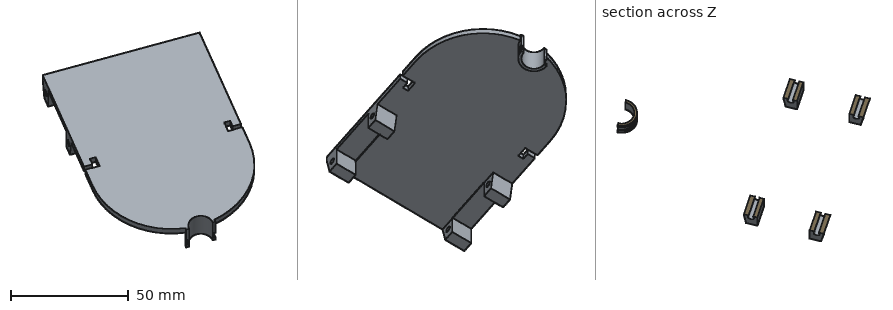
import cadquery as cq

length = 100.1
width = 70.64
thickness = 3.2
half_width = width / 2
round_radius = half_width
round_center_x = 64.4

leg_bottom_z = -13.0
leg_width = 10.0
rear_leg_taper = 2.0
rear_leg_inner_x = 7.15
front_leg_inner_x = 30.1
front_leg_bottom_x = 35.2
front_leg_top_x = 36.8
pin_hole_diameter = 2.7
pin_hole_z = -7.5
pin_hole_xs = (4.0, 33.0)
recess_depth = 0.65

slot_front_x = 55.0
slot_width = 1.8
slot_depth = 6.4
hook_rear_x = 50.0
hook_width = 2.6

boss_center_y = 0.8
boss_radius = 6.65
bore_radius = 5.3
groove_radius = 6.05
groove_top_z = -7.65
groove_bottom_z = -10.5
boss_bottom_z = -12.1


def box(x0, x1, y0, y1, z0, z1):
    """Axis-aligned block between two opposite corners."""
    return cq.Workplane("XY").box(x1 - x0, y1 - y0, z1 - z0, centered=False).translate((x0, y0, z0))


def both_sides(shape):
    """The shape together with its mirror image across the XZ plane."""
    return shape.union(shape.mirror("XZ"))


def make_plate():
    return (
        cq.Workplane("XY")
        .moveTo(0, -half_width)
        .lineTo(round_center_x, -half_width)
        .threePointArc((round_center_x + round_radius, 0), (round_center_x, half_width))
        .lineTo(0, half_width)
        .close()
        .extrude(-thickness)
    )


def extrude_along_side(outline):
    """Extrude an XZ outline one leg width inward from the -Y edge."""
    return (
        cq.Workplane("XZ", origin=(0, -half_width, 0))
        .polyline(outline)
        .close()
        .extrude(-leg_width)
    )


def make_legs():
    rear = extrude_along_side([
        (0, -thickness),
        (rear_leg_taper, leg_bottom_z),
        (rear_leg_inner_x, leg_bottom_z),
        (rear_leg_inner_x, -thickness),
    ])
    front = extrude_along_side([
        (front_leg_inner_x, -thickness),
        (front_leg_inner_x, leg_bottom_z),
        (front_leg_bottom_x, leg_bottom_z),
        (front_leg_top_x, -thickness),
    ])
    return both_sides(rear.union(front))


def make_pin_holes():
    return (
        cq.Workplane("XZ", origin=(0, -half_width, 0))
        .pushPoints([(x, pin_hole_z) for x in pin_hole_xs])
        .circle(pin_hole_diameter / 2)
        .extrude(-width)
    )


def make_recesses():
    return both_sides(box(
        rear_leg_inner_x, front_leg_inner_x,
        -half_width, -half_width + leg_width,
        -thickness, -thickness + recess_depth,
    ))


def make_slots():
    slot_end_y = -half_width + slot_depth
    entry = box(slot_front_x - slot_width, slot_front_x, -half_width, slot_end_y, -thickness, 0)
    hook = box(hook_rear_x, slot_front_x, slot_end_y - hook_width, slot_end_y, -thickness, 0)
    return both_sides(entry.union(hook))


def half_disc(radius, z_top, z_bottom):
    """Half cylinder centred on the +X end, lying on its -X side."""
    disc = cq.Workplane("XY", origin=(length, boss_center_y, z_top)).circle(radius).extrude(z_bottom - z_top)
    rear_half = box(
        length - radius, length,
        boss_center_y - radius, boss_center_y + radius,
        z_bottom, z_top,
    )
    return disc.intersect(rear_half)


def make_boss():
    upper = half_disc(boss_radius, 0, groove_top_z)
    groove = half_disc(groove_radius, groove_top_z, groove_bottom_z)
    rim = half_disc(boss_radius, groove_bottom_z, boss_bottom_z)
    return upper.union(groove).union(rim)


body = make_plate().union(make_legs()).union(make_boss())
body = body.cut(make_pin_holes()).cut(make_recesses()).cut(make_slots())
result = body.cut(half_disc(bore_radius, 0, boss_bottom_z))